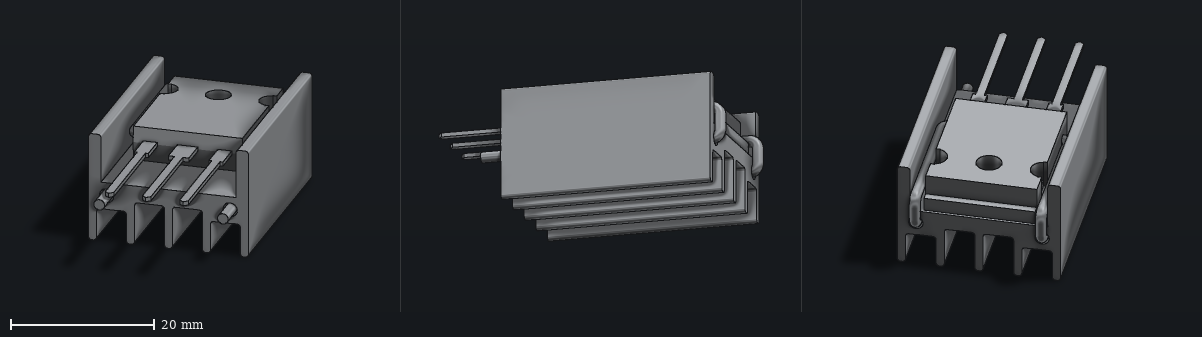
import cadquery as cq
import math

SINK_WIDTH = 23.37
SINK_HEIGHT = 16.0
SINK_LENGTH = 30.6
WALL_THICKNESS = 1.85
FLOOR_Z = 8.85
FIN_COUNT = 5
FIN_THICKNESS = 1.2
OUTER_SLOT_TOP_Z = 4.85
INNER_SLOT_TOP_Z = 6.35
EDGE_RADIUS = 0.5

WIRE_DIAMETER = 1.56
WIRE_X = 9.02
WIRE_LOWER_Z = 6.9
WIRE_UPPER_Z = 11.42
WIRE_FRONT_Y = -34.15
WIRE_LOOP_Y = 0.66
LOOP_RADIUS = 1.2
ELBOW_START_Y = -16.85
ELBOW_RADIUS = 0.94
WIRE_HOLE_DIAMETER = 2.05

PACKAGE_WIDTH = 15.9
PACKAGE_HEIGHT = 5.04
PACKAGE_REAR_Y = -0.43
PACKAGE_FRONT_Y = -21.43
PARTING_HEIGHT = 2.7
FRONT_DRAFT = 0.24
TAB_THICKNESS = 2.0
TAB_LEDGE = 1.15
SCREW_HOLE_DIAMETER = 3.61
SCREW_HOLE_Y = -6.6
NOTCH_DIAMETER = 3.7
NOTCH_X = 7.82
NOTCH_Y = -6.55
TAB_NOTCH_DEPTH = 0.55
TAB_NOTCH_LENGTH = 3.76
TAB_NOTCH_FLOOR_Z = FLOOR_Z + TAB_THICKNESS / 2

LEAD_PITCH = 5.44
LEAD_THICKNESS = 0.62
LEAD_Z = 11.6
LEAD_WIDTH = 1.24
LEAD_TIP_LENGTH = 0.56
SIDE_SHOULDER_WIDTH = 2.06
MIDDLE_SHOULDER_WIDTH = 3.0
SHOULDER_Y = -25.7
REAR_OVERHANG = WIRE_LOOP_Y + WIRE_DIAMETER / 2
OVERALL_LENGTH = 42.99
LEAD_TIP_Y = REAR_OVERHANG - OVERALL_LENGTH


def make_finned_channel():
    """Finned channel with rounded edges and one wire hole on each side."""
    body = cq.Workplane("XY").box(SINK_WIDTH, SINK_LENGTH, SINK_HEIGHT, centered=(True, False, False))
    body = body.translate((0, -SINK_LENGTH, 0))

    channel_width = SINK_WIDTH - 2 * WALL_THICKNESS
    channel = cq.Workplane("XY", origin=(0, -SINK_LENGTH / 2, FLOOR_Z))
    channel = channel.box(channel_width, SINK_LENGTH, SINK_HEIGHT, centered=(True, True, False))
    body = body.cut(channel)

    slot_count = FIN_COUNT - 1
    fin_pitch = (SINK_WIDTH - FIN_THICKNESS) / slot_count
    slot_width = fin_pitch - FIN_THICKNESS
    for i in range(slot_count):
        slot_x = (i - (slot_count - 1) / 2) * fin_pitch
        is_outer = i in (0, slot_count - 1)
        slot_top = OUTER_SLOT_TOP_Z if is_outer else INNER_SLOT_TOP_Z
        slot = cq.Workplane("XY", origin=(slot_x, -SINK_LENGTH / 2, 0))
        slot = slot.box(slot_width, SINK_LENGTH, slot_top, centered=(True, True, False))
        body = body.cut(slot.faces(">Z").edges("|Y").fillet(EDGE_RADIUS))

    body = body.faces(">Z").edges("|Y").fillet(EDGE_RADIUS)
    body = body.faces("<Z").edges("|Y").fillet(EDGE_RADIUS)

    holes = cq.Workplane("XZ").pushPoints([(-WIRE_X, WIRE_LOWER_Z), (WIRE_X, WIRE_LOWER_Z)])
    return body.cut(holes.circle(WIRE_HOLE_DIAMETER / 2).extrude(SINK_LENGTH))


def make_clip_wire(side):
    """Wire from the lower front end, around the rear loop, to the elbow just beside the case."""
    x = side * WIRE_X
    bend_y = WIRE_LOOP_Y - LOOP_RADIUS
    loop_mid = LOOP_RADIUS * math.sin(math.radians(45))
    lower_bend_z = WIRE_LOWER_Z + LOOP_RADIUS
    upper_bend_z = WIRE_UPPER_Z - LOOP_RADIUS
    elbow_x = WIRE_X - ELBOW_RADIUS
    elbow_mid = ELBOW_RADIUS * math.sin(math.radians(45))

    start = cq.Vector(x, WIRE_FRONT_Y, WIRE_LOWER_Z)
    lower_end = cq.Vector(x, bend_y, WIRE_LOWER_Z)
    lower_mid = cq.Vector(x, bend_y + loop_mid, lower_bend_z - loop_mid)
    rise_start = cq.Vector(x, WIRE_LOOP_Y, lower_bend_z)
    rise_end = cq.Vector(x, WIRE_LOOP_Y, upper_bend_z)
    upper_mid = cq.Vector(x, bend_y + loop_mid, upper_bend_z + loop_mid)
    upper_start = cq.Vector(x, bend_y, WIRE_UPPER_Z)
    upper_end = cq.Vector(x, ELBOW_START_Y, WIRE_UPPER_Z)
    turn_mid = cq.Vector(side * (elbow_x + elbow_mid), ELBOW_START_Y - elbow_mid, WIRE_UPPER_Z)
    turn_end = cq.Vector(side * elbow_x, ELBOW_START_Y - ELBOW_RADIUS, WIRE_UPPER_Z)

    path = cq.Wire.assembleEdges([
        cq.Edge.makeLine(start, lower_end),
        cq.Edge.makeThreePointArc(lower_end, lower_mid, rise_start),
        cq.Edge.makeLine(rise_start, rise_end),
        cq.Edge.makeThreePointArc(rise_end, upper_mid, upper_start),
        cq.Edge.makeLine(upper_start, upper_end),
        cq.Edge.makeThreePointArc(upper_end, turn_mid, turn_end),
    ])
    section = cq.Workplane("XZ", origin=start.toTuple()).circle(WIRE_DIAMETER / 2)
    return section.sweep(path)


def make_heat_sink():
    """Finned channel and both clip wires joined into one solid."""
    body = make_finned_channel()
    for side in (-1, 1):
        body = body.union(make_clip_wire(side))
    return body.solids()


def make_package_body():
    """Moulded case with a drafted front, a rear tab ledge, a screw hole and side notches."""
    top_z = FLOOR_Z + PACKAGE_HEIGHT
    tab_top_z = FLOOR_Z + TAB_THICKNESS
    side_profile = [
        (PACKAGE_REAR_Y, FLOOR_Z),
        (PACKAGE_REAR_Y, tab_top_z),
        (PACKAGE_REAR_Y - TAB_LEDGE, tab_top_z),
        (PACKAGE_REAR_Y - TAB_LEDGE, top_z),
        (PACKAGE_FRONT_Y + FRONT_DRAFT, top_z),
        (PACKAGE_FRONT_Y, FLOOR_Z + PARTING_HEIGHT),
        (PACKAGE_FRONT_Y + FRONT_DRAFT, FLOOR_Z),
    ]
    body = cq.Workplane("YZ").polyline(side_profile).close().extrude(PACKAGE_WIDTH / 2, both=True)

    screw_hole = cq.Workplane("XY", origin=(0, SCREW_HOLE_Y, FLOOR_Z))
    body = body.cut(screw_hole.circle(SCREW_HOLE_DIAMETER / 2).extrude(PACKAGE_HEIGHT))

    for side in (-1, 1):
        round_notch = cq.Workplane("XY", origin=(side * NOTCH_X, NOTCH_Y, tab_top_z))
        body = body.cut(round_notch.circle(NOTCH_DIAMETER / 2).extrude(PACKAGE_HEIGHT))
        tab_notch = cq.Workplane("XY", origin=(side * PACKAGE_WIDTH / 2, NOTCH_Y, TAB_NOTCH_FLOOR_Z))
        tab_notch = tab_notch.rect(2 * TAB_NOTCH_DEPTH, TAB_NOTCH_LENGTH).extrude(PACKAGE_HEIGHT)
        body = body.cut(tab_notch)
    return body


def make_lead(x, shoulder_width):
    """Flat lead with a wide shoulder at the case and a pointed tip."""
    root_y = PACKAGE_FRONT_Y + FRONT_DRAFT
    half_shoulder = shoulder_width / 2
    half_width = LEAD_WIDTH / 2
    tip_base_y = LEAD_TIP_Y + LEAD_TIP_LENGTH
    outline = [
        (-half_shoulder, root_y),
        (-half_shoulder, SHOULDER_Y),
        (-half_width, SHOULDER_Y),
        (-half_width, tip_base_y),
        (0, LEAD_TIP_Y),
        (half_width, tip_base_y),
        (half_width, SHOULDER_Y),
        (half_shoulder, SHOULDER_Y),
        (half_shoulder, root_y),
    ]
    lead = cq.Workplane("XY").polyline(outline).close().extrude(LEAD_THICKNESS)
    return lead.translate((x, 0, LEAD_Z - LEAD_THICKNESS / 2))


def make_transistor():
    """Case and three leads joined into one solid."""
    body = make_package_body()
    for position in (-1, 0, 1):
        shoulder_width = MIDDLE_SHOULDER_WIDTH if position == 0 else SIDE_SHOULDER_WIDTH
        body = body.union(make_lead(position * LEAD_PITCH, shoulder_width))
    return body.solids()


heat_sink = make_heat_sink()
transistor = make_transistor()

result = cq.Compound.makeCompound([heat_sink.val(), transistor.val()])